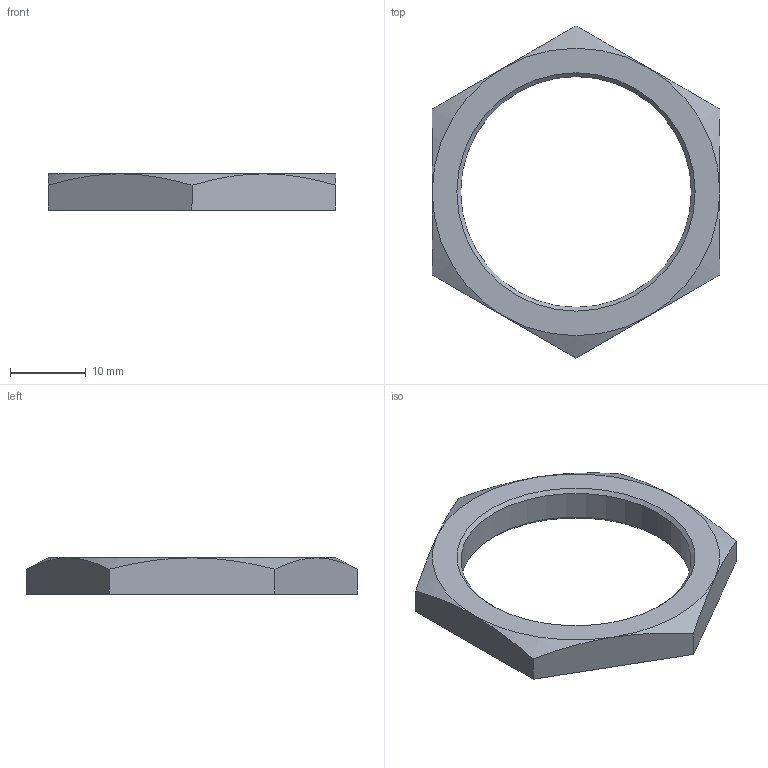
import cadquery as cq
import math

side_count = 6
across_flats = 38.0
thickness = 4.8
bore_diameter = 30.5
bore_chamfer = 0.5
corner_chamfer_angle = 27.0

half_side_angle = 180 / side_count
flat_radius = across_flats / 2
corner_radius = flat_radius / math.cos(math.radians(half_side_angle))
corner_drop = (corner_radius - flat_radius) * math.tan(math.radians(corner_chamfer_angle))
bore_radius = bore_diameter / 2
mouth_radius = bore_radius + bore_chamfer


def revolve_about_z(half_profile):
    """Solid of revolution about Z from a closed outline of (radius, height) points."""
    return cq.Workplane("XZ").polyline(half_profile).close().revolve(360, (0, 0, 0), (0, 1, 0))


def hex_blank():
    """Hexagonal prism with two flats facing +X and -X."""
    blank = cq.Workplane("XY").polygon(side_count, 2 * corner_radius).extrude(thickness)
    return blank.rotate((0, 0, 0), (0, 0, 1), half_side_angle)


def corner_chamfer_envelope():
    """Cylinder through the corners, coned at the top down to the flats."""
    return revolve_about_z([
        (0, 0),
        (corner_radius, 0),
        (corner_radius, thickness - corner_drop),
        (flat_radius, thickness),
        (0, thickness),
    ])


def bore_cutter():
    """Through bore with a 45 degree chamfer at each mouth."""
    return revolve_about_z([
        (0, 0),
        (mouth_radius, 0),
        (bore_radius, bore_chamfer),
        (bore_radius, thickness - bore_chamfer),
        (mouth_radius, thickness),
        (0, thickness),
    ])


result = hex_blank().intersect(corner_chamfer_envelope()).cut(bore_cutter())